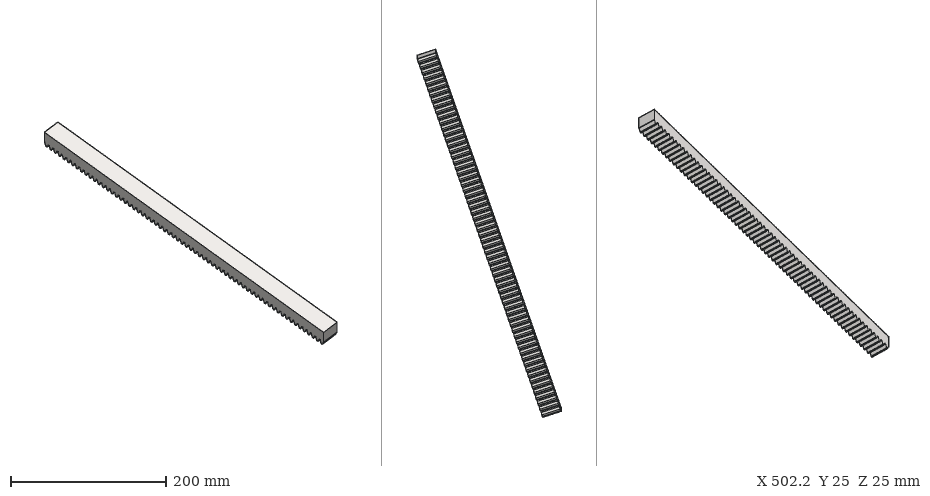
import cadquery as cq
import math

module = 2.5
pressure_angle = math.radians(20)
tooth_count = 64
face_width = 25.0
total_height = 25.0
root_depth_factor = 1.25
end_clearance = 0.25

pitch = math.pi * module
addendum = module
dedendum = root_depth_factor * module
tip_half_width = pitch / 4 - addendum * math.tan(pressure_angle)
root_half_width = pitch / 4 + dedendum * math.tan(pressure_angle)

length = tooth_count * pitch - 2 * end_clearance
tip_z = -addendum
root_z = dedendum
back_z = tip_z + total_height


def tooth_points(center_x):
    """Corners of one straight-flanked tooth, from left root to right root."""
    return [
        (center_x - root_half_width, root_z),
        (center_x - tip_half_width, tip_z),
        (center_x + tip_half_width, tip_z),
        (center_x + root_half_width, root_z),
    ]


def rack_outline():
    """Closed XZ outline of the bar with all its teeth."""
    points = [(-length / 2, back_z), (-length / 2, root_z)]
    for index in range(tooth_count):
        center_x = (index - (tooth_count - 1) / 2) * pitch
        points += tooth_points(center_x)
    points += [(length / 2, root_z), (length / 2, back_z)]
    return points


result = (
    cq.Workplane("XZ")
    .polyline(rack_outline())
    .close()
    .extrude(face_width / 2, both=True)
)